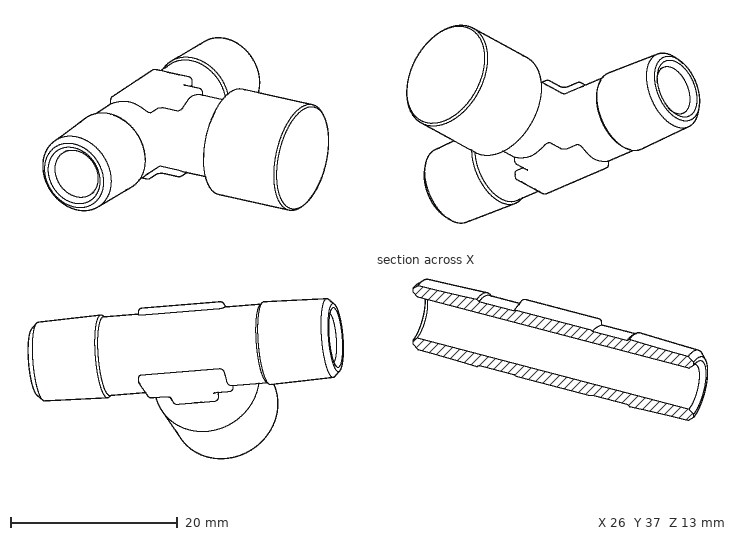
import cadquery as cq

run_length = 37.0
tube_radius = 4.75
bore_radius = 3.0
bore_mouth_radius = 3.6
bore_mouth_depth = 0.6

shoulder_radius = 5.0
shoulder_start = 9.75
shoulder_width = 0.3
taper_slope = 1 / 32
spigot_chamfer_length = 0.7
spigot_face_radius = 4.1

branch_end = 21.0
head_radius = 6.5
head_start = 11.0
flare_start = 10.05
head_edge_chamfer = 0.25
flare_root_fillet = 0.5
joint_fillet = 0.45

pad_height = 4.9
pad_half_width = 2.8
pad_half_length = 5.3
pad_arm_end = 5.7
pad_corner_radius = 0.5
pad_edge_fillet = 0.499

half_length = run_length / 2


def make_run():
    """Revolve one half of the tube about Y and mirror it to the other end."""
    shoulder_y = shoulder_start + shoulder_width
    chamfer_y = half_length - spigot_chamfer_length
    tip_radius = shoulder_radius - taper_slope * (chamfer_y - shoulder_y)
    half = (
        cq.Workplane("XY")
        .polyline([
            (0, 0),
            (tube_radius, 0),
            (tube_radius, shoulder_start),
            (shoulder_radius, shoulder_y),
            (tip_radius, chamfer_y),
            (spigot_face_radius, half_length),
            (0, half_length),
        ])
        .close()
        .revolve(360, (0, 0, 0), (0, 1, 0))
    )
    return half.union(half.mirror("XZ"))


def make_branch():
    """Revolve the side arm, its conical flare and its head about X."""
    branch = (
        cq.Workplane("XY")
        .polyline([
            (0, 0),
            (0, tube_radius),
            (flare_start, tube_radius),
            (head_start, head_radius),
            (branch_end, head_radius),
            (branch_end, 0),
        ])
        .close()
        .revolve(360, (0, 0, 0), (1, 0, 0))
    )
    flare_root = cq.selectors.BoxSelector(
        (flare_start - flare_root_fillet, -head_radius, -head_radius),
        (flare_start + flare_root_fillet, head_radius, head_radius),
        boundingbox=False,
    )
    branch = branch.faces(">X").edges().chamfer(head_edge_chamfer)
    return branch.edges("%CIRCLE").edges(flare_root).fillet(flare_root_fillet)


def make_pad():
    """Extrude the T outline up from the centre plane and round its corners and top edge."""
    pad = (
        cq.Workplane("XY")
        .rect(2 * pad_half_width, 2 * pad_half_length)
        .extrude(pad_height)
    )
    arm = (
        cq.Workplane("XY")
        .center(pad_arm_end / 2, 0)
        .rect(pad_arm_end, 2 * pad_half_width)
        .extrude(pad_height)
    )
    pad = pad.union(arm).edges("|Z").fillet(pad_corner_radius)
    return pad.faces(">Z").edges().fillet(pad_edge_fillet)


def round_joint(body):
    """Fillet the two mitred seams where the branch meets the tube."""
    reach = tube_radius + joint_fillet
    for side in (-1, 1):
        seam = cq.selectors.BoxSelector(
            (pad_half_width, side * pad_half_width, -tube_radius),
            (reach, side * reach, tube_radius),
            boundingbox=False,
        )
        body = body.edges("%ELLIPSE").edges(seam).fillet(joint_fillet)
    return body


def make_bore():
    """Through bore along Y with a conical mouth at each end."""
    mouth_y = half_length - bore_mouth_depth
    return (
        cq.Workplane("XY")
        .polyline([
            (0, -half_length),
            (bore_mouth_radius, -half_length),
            (bore_radius, -mouth_y),
            (bore_radius, mouth_y),
            (bore_mouth_radius, half_length),
            (0, half_length),
        ])
        .close()
        .revolve(360, (0, 0, 0), (0, 1, 0))
    )


upper_pad = make_pad()
body = make_run().union(make_branch())
body = body.union(upper_pad).union(upper_pad.mirror("XY"))
body = round_joint(body)
result = body.cut(make_bore())